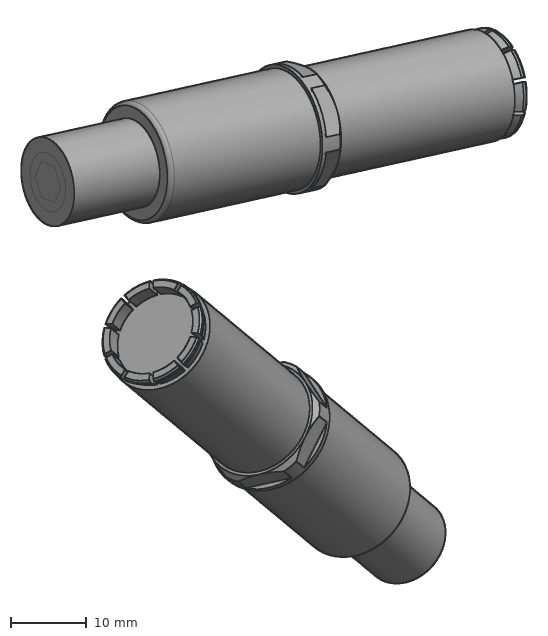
import cadquery as cq
import math

total_length = 72.7

barrel_start = 13.9
collar_start = 38.4
collar_end = 41.95
sleeve_end = 70.45

plunger_diameter = 12.0
barrel_diameter = 16.4
collar_diameter = 17.4
sleeve_diameter = 15.1

barrel_rounding_length = 0.7
barrel_rounding_depth = 0.5

wrench_size = 16.0
flange_thickness = 0.65
flat_count = 6
collar_chamfer = (collar_diameter - wrench_size) / 2

crown_lip_diameter = 14.8
crown_end_diameter = 14.3
crown_root_diameter = 13.8
crown_bore_diameter = 12.35
crown_lip_edge = 0.3
crown_lip_length = 0.4
slot_width = 0.6
slot_count = 10

insert_diameter = 8.0
insert_hex_size = 5.0
insert_hex_sides = 6
insert_depth = 0.7


def round_section(diameter, start, end):
    """Cylinder on the Y axis between two stations."""
    plane = cq.Workplane("XZ", origin=(0, start, 0))
    return plane.circle(diameter / 2).extrude(-(end - start))


def make_barrel():
    """Main barrel with its front edge rounded by an arc tangent to the side."""
    radius = barrel_diameter / 2
    return (
        cq.Workplane("XY")
        .moveTo(0, collar_start)
        .lineTo(radius, collar_start)
        .lineTo(radius, barrel_start + barrel_rounding_length)
        .tangentArcPoint((radius - barrel_rounding_depth, barrel_start), relative=False)
        .lineTo(0, barrel_start)
        .close()
        .revolve(360, (0, 0, 0), (0, 1, 0))
    )


def make_collar():
    """Chamfered collar with six wrench flats, one of them facing up."""
    collar = round_section(collar_diameter, collar_start, collar_end)
    collar = collar.faces(">Y").edges().chamfer(collar_chamfer)
    flats_start = collar_start + flange_thickness
    hexagon_diameter = wrench_size / math.cos(math.pi / flat_count)
    hexagon = (
        cq.Workplane("XZ", origin=(0, flats_start, 0))
        .polygon(flat_count, hexagon_diameter)
        .extrude(-(collar_end - flats_start))
    )
    flange = round_section(collar_diameter, collar_start, flats_start)
    return collar.intersect(flange.union(hexagon))


def make_crown():
    """Hollow flared crown, split into equal fingers by radial slots."""
    lip_end = total_length - crown_lip_edge
    lip_start = lip_end - crown_lip_length
    crown = (
        cq.Workplane("XY")
        .moveTo(crown_bore_diameter / 2, sleeve_end)
        .lineTo(crown_root_diameter / 2, sleeve_end)
        .lineTo(crown_lip_diameter / 2, lip_start)
        .lineTo(crown_lip_diameter / 2, lip_end)
        .lineTo(crown_end_diameter / 2, total_length)
        .lineTo(crown_bore_diameter / 2, total_length)
        .close()
        .revolve(360, (0, 0, 0), (0, 1, 0))
    )
    crown_length = total_length - sleeve_end
    cutter = (
        cq.Workplane("XY", origin=(0, sleeve_end, 0))
        .box(slot_width, crown_length, crown_lip_diameter, centered=(True, False, True))
    )
    for index in range(slot_count // 2):
        angle = index * 360 / slot_count
        crown = crown.cut(cutter.rotate((0, 0, 0), (0, 1, 0), angle))
    return crown


def add_flush_insert(body):
    """Set a round insert and its hexagon core level with the plunger tip."""
    disc = round_section(insert_diameter, 0, insert_depth)
    core = (
        cq.Workplane("XZ")
        .polygon(insert_hex_sides, insert_hex_size / math.cos(math.pi / insert_hex_sides))
        .extrude(-insert_depth)
    )
    return body.union(disc, clean=False).union(core, clean=False)


plunger = round_section(plunger_diameter, 0, barrel_start)
sleeve = round_section(sleeve_diameter, collar_end, sleeve_end)

body = plunger.union(make_barrel()).union(make_collar()).union(sleeve).union(make_crown())
result = add_flush_insert(body)